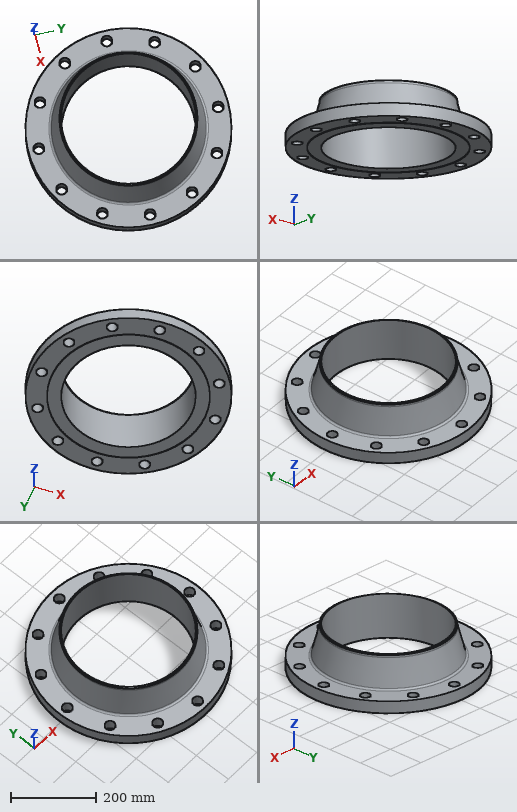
import cadquery as cq

flange_diameter = 482.5
total_height = 116.0

plate_thickness = 32.0
face_diameter = 381.0
face_height = 1.5
plate_top = face_height + plate_thickness

hub_base_diameter = 364.7
neck_diameter = 323.5
neck_length = 7.0
hub_fillet = 6.0
bore_diameter = 314.5
bevel_width = 3.5
bevel_height = 2.0

bolt_count = 12
bolt_circle_diameter = 432.0
bolt_hole_diameter = 25.5


def flange_plate():
    """Round plate standing on the thin raised face."""
    face = cq.Workplane("XY").circle(face_diameter / 2).extrude(face_height)
    plate = (
        cq.Workplane("XY")
        .workplane(offset=face_height)
        .circle(flange_diameter / 2)
        .extrude(plate_thickness)
    )
    return face.union(plate)


def hub():
    """Revolve the tapered hub with its short straight neck and bevelled weld end."""
    neck_radius = neck_diameter / 2
    profile = (
        cq.Workplane("XZ")
        .moveTo(0, plate_top)
        .lineTo(hub_base_diameter / 2, plate_top)
        .lineTo(neck_radius, total_height - neck_length)
        .lineTo(neck_radius, total_height - bevel_height)
        .lineTo(neck_radius - bevel_width, total_height)
        .lineTo(0, total_height)
        .close()
    )
    return profile.revolve(360, (0, 0, 0), (0, 1, 0))


def fillet_hub_root(body):
    """Round the circular corner where the hub meets the plate."""
    tolerance = 0.5
    half_width = hub_base_diameter / 2 + tolerance
    root_zone = cq.selectors.BoxSelector(
        (-half_width, -half_width, plate_top - tolerance),
        (half_width, half_width, plate_top + tolerance),
        boundingbox=True,
    )
    return body.edges(root_zone).fillet(hub_fillet)


def bore():
    return cq.Workplane("XY").circle(bore_diameter / 2).extrude(total_height)


def bolt_holes():
    return (
        cq.Workplane("XY")
        .polarArray(bolt_circle_diameter / 2, 0, 360, bolt_count)
        .circle(bolt_hole_diameter / 2)
        .extrude(plate_top)
    )


body = fillet_hub_root(flange_plate().union(hub()))
result = body.cut(bore()).cut(bolt_holes())